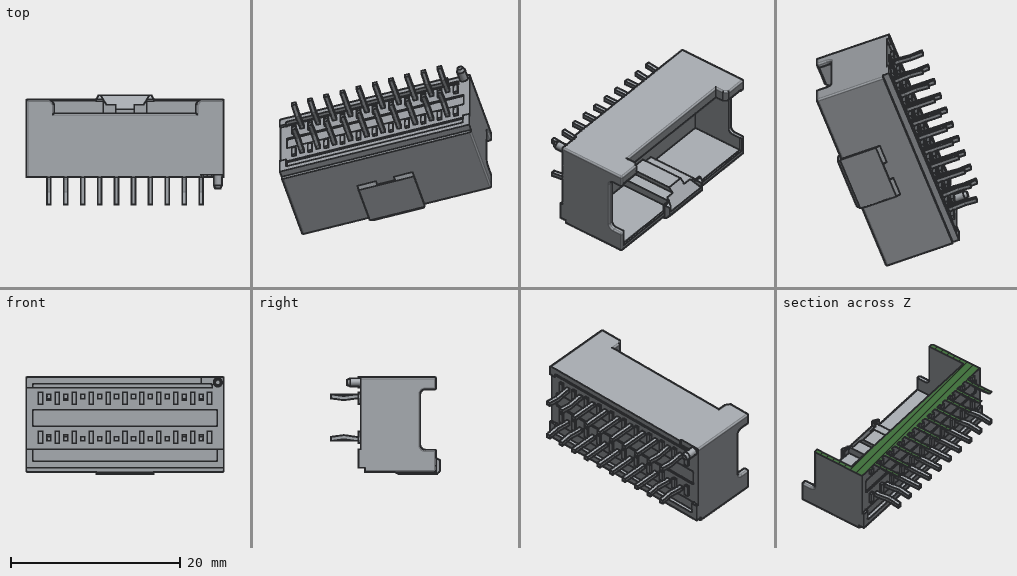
import cadquery as cq
import math


length = 23.4
depth = 9.2
height = 11.25
edge_radius = 0.2
top_wall = 1.4
bottom_wall = 0.85
side_wall = 0.6
back_wall = 2.35
mouth_chamfer = 0.16
mouth_chamfer_angle = 45

side_window_depth = 1.85
side_window_low = 2.67
side_window_high = 9.75
side_window_radius = 0.55
window_mouth_radius = 0.19
top_window_half = 8.38
top_window_depth = 1.61
top_window_flare = 0.42
top_window_flare_depth = 0.55

field_depth = 0.28
upper_ridge_height = 1.29
lower_ridge_height = 2.71
foot_height = 0.5
foot_depth = 0.77
peg_corner_x = 9.0

pocket_depth = 0.19
pocket_radius = 0.2
pocket_half = 10.93
strip_right = 10.3
strip_top = 10.45
center_pocket_low = 5.4
center_pocket_high = 7.4
lower_pocket_low = 1.26

tails_per_row = 10
tail_row_span = 18.0
pitch = tail_row_span / (tails_per_row - 1)
tail_size = 0.5
tail_length = 3.25
tail_bend_start = 0.2
tail_bend_peak = 1.7
tail_bend_offset = 0.2
bent_tails_per_end = 2
upper_tail_z = 8.95
lower_tail_z = 3.93
rib_width = 0.5
rib_height = 1.4
upper_rib_z = 8.73
lower_rib_z = 4.12

peg_x = 10.97
peg_z = 10.6
peg_diameter = 1.0
peg_tip_diameter = 0.63
peg_shoulder = 0.94
peg_length = 1.35

lip_length = 0.5
lip_half = 3.42
lip_taper = 0.28
lip_chamfer = 0.37
lip_base_top = 1.68
keel_height = 0.23
keel_end = 4.28
keel_ramp = 0.5
key_half = 2.6
key_top = 1.83
key_rib_half = 1.1
key_rib_top = 2.39
lead_in_mouth_half = 2.88
lead_in_end_half = 2.2
lead_in_mouth_z = 0.7
lead_in_angle = 45.0

recess_floor = field_depth + pocket_depth
lip_y = depth + lip_length
overcut = 0.23


def box(x0, x1, y0, y1, z0, z1):
    """Axis-aligned block between the given limits."""
    return cq.Workplane("XY").box(x1 - x0, y1 - y0, z1 - z0, centered=False).translate((x0, y0, z0))


def make_cavity_tool():
    """Cavity behind the rim, with a chamfered mouth."""
    width = length - 2 * side_wall
    tall = height - top_wall - bottom_wall
    cavity = box(-width / 2, width / 2, back_wall, depth + overcut, bottom_wall, bottom_wall + tall)
    mouth = (
        cq.Workplane("XZ", origin=(0, depth, bottom_wall + tall / 2))
        .rect(width + 2 * mouth_chamfer, tall + 2 * mouth_chamfer)
        .extrude(2 * mouth_chamfer, taper=mouth_chamfer_angle)
    )
    return cavity.union(mouth)


def make_side_window_tool():
    """Window through both side walls, with rounded inner and mouth corners."""
    reach = length / 2 + overcut
    window = box(-reach, reach, depth - side_window_depth, depth + overcut, side_window_low, side_window_high)
    window = window.edges("|X and <Y").fillet(side_window_radius)
    window = window.union(box(-reach, reach, depth, depth + overcut, 0, height))
    mouth = cq.selectors.BoxSelector(
        (-reach, depth - overcut / 2, side_window_low - overcut),
        (reach, depth + overcut / 2, side_window_high + overcut),
    )
    return window.edges("|X").edges(mouth).fillet(window_mouth_radius)


def make_top_window_tool():
    """Window through the top wall, flared where it meets the rim."""
    flared_half = top_window_half + top_window_flare
    return (
        cq.Workplane("XY", origin=(0, 0, height / 2))
        .moveTo(-top_window_half, depth - top_window_depth)
        .lineTo(top_window_half, depth - top_window_depth)
        .lineTo(top_window_half, depth - top_window_flare_depth)
        .lineTo(flared_half, depth)
        .lineTo(flared_half, depth + overcut)
        .lineTo(-flared_half, depth + overcut)
        .lineTo(-flared_half, depth)
        .lineTo(-top_window_half, depth - top_window_flare_depth)
        .close()
        .extrude(height)
    )


def make_shell():
    """Open-fronted box with rim windows and rounded outer edges."""
    shell = box(-length / 2, length / 2, 0, depth, 0, height)
    shell = shell.cut(make_cavity_tool()).cut(make_side_window_tool()).cut(make_top_window_tool())
    outer_edges = shell.faces("<X or >X").edges("not <Y")
    outer_edges = outer_edges.add(shell.faces(">Z").edges("not <Y"))
    outer_edges = outer_edges.add(shell.faces("<Z").edges("not <Y"))
    return shell.newObject(outer_edges.vals()).fillet(edge_radius)


def rounded_pocket(x0, x1, z0, z1):
    """Tool for a flat pocket with rounded corners, open at the mounting face."""
    return box(x0, x1, -overcut, recess_floor, z0, z1).edges("|Y").fillet(pocket_radius)


def cut_mounting_face(body):
    """Recess the field, step the foot and the peg corner, then cut the pockets."""
    reach = length / 2 + overcut
    field_top = height - upper_ridge_height
    body = body.cut(box(-reach, reach, -overcut, field_depth, lower_ridge_height, field_top))
    body = body.cut(box(peg_corner_x, reach, -overcut, field_depth, lower_ridge_height, height + overcut))
    body = body.cut(box(-reach, reach, -overcut, foot_depth, -overcut, foot_height))
    upper_strip = rounded_pocket(-pocket_half, strip_right, field_top - 2 * pocket_radius, strip_top)
    upper_strip = upper_strip.intersect(box(-reach, reach, -overcut, recess_floor, field_top, height))
    lower_strip_end = lower_ridge_height + 2 * pocket_radius
    lower_strip = rounded_pocket(-pocket_half, pocket_half, lower_pocket_low, lower_strip_end)
    lower_strip = lower_strip.intersect(box(-reach, reach, -overcut, recess_floor, 0, lower_ridge_height))
    center_pocket = rounded_pocket(-pocket_half, pocket_half, center_pocket_low, center_pocket_high)
    return body.cut(upper_strip).cut(lower_strip).cut(center_pocket)


def make_latch_lip():
    """Tapered lip ahead of the rim, with a keel whose ramped end is square in the middle."""
    profile = (
        cq.Workplane("YZ", origin=(-lip_half, 0, 0))
        .moveTo(keel_end, 0)
        .lineTo(keel_end + keel_ramp, -keel_height)
        .lineTo(lip_y - lip_chamfer, -keel_height)
        .lineTo(lip_y, lip_chamfer - keel_height)
        .lineTo(lip_y, lip_base_top - lip_taper)
        .lineTo(depth, lip_base_top)
        .lineTo(depth - edge_radius, lip_base_top)
        .lineTo(depth - edge_radius, edge_radius)
        .lineTo(keel_end, edge_radius)
        .close()
        .extrude(2 * lip_half)
    )
    outline = (
        cq.Workplane("XY", origin=(0, 0, -keel_height))
        .moveTo(-lip_half, 0)
        .lineTo(lip_half, 0)
        .lineTo(lip_half, depth)
        .lineTo(lip_half - lip_taper, lip_y)
        .lineTo(-lip_half + lip_taper, lip_y)
        .lineTo(-lip_half, depth)
        .close()
        .extrude(height)
    )
    step = box(-key_rib_half, key_rib_half, 0, keel_end + keel_ramp, -keel_height - overcut, 0)
    return profile.intersect(outline).cut(step)


def make_key_block():
    """Stepped block on the cavity floor, with a rib along its middle."""
    start = back_wall - overcut
    base = box(-key_half, key_half, start, depth, edge_radius, key_top)
    return base.union(box(-key_rib_half, key_rib_half, start, depth, edge_radius, key_rib_top))


def cut_lead_in(body):
    """Sloping lead-in through the lip and up over the key block."""
    slope = math.tan(math.radians(lead_in_angle))
    ramp_end_y = lip_y - (key_rib_top - lead_in_mouth_z) / slope
    flare_end_y = lip_y - (key_top - lead_in_mouth_z) / slope
    flare = (
        cq.Workplane("XY")
        .moveTo(-lead_in_end_half, 0)
        .lineTo(lead_in_end_half, 0)
        .lineTo(lead_in_end_half, flare_end_y)
        .lineTo(lead_in_mouth_half, lip_y)
        .lineTo(-lead_in_mouth_half, lip_y)
        .lineTo(-lead_in_end_half, flare_end_y)
        .close()
        .extrude(height / 2)
    )
    wedge = (
        cq.Workplane("YZ", origin=(-lip_half, 0, 0))
        .moveTo(lip_y, lead_in_mouth_z)
        .lineTo(ramp_end_y, key_rib_top)
        .lineTo(lip_y, key_rib_top)
        .close()
        .extrude(2 * lip_half)
    )
    return body.cut(wedge.intersect(flare))


def make_tail(x, z, bend):
    """Square solder tail; bend shifts its middle along Z."""
    half = tail_size / 2
    path = [
        (recess_floor, 0),
        (-tail_bend_start, 0),
        (-tail_bend_peak, bend),
        (-tail_length, 0),
    ]
    upper = [(y, z + shift + half) for y, shift in path]
    lower = [(y, z + shift - half) for y, shift in reversed(path)]
    return cq.Workplane("YZ", origin=(x - half, 0, 0)).polyline(upper + lower).close().extrude(tail_size)


def make_tail_row(tail_z, rib_z, bend):
    """List of one row of tails with standoff ribs between and outside them."""
    row = []
    for i in range(tails_per_row):
        x = -tail_row_span / 2 + i * pitch
        from_end = min(i, tails_per_row - 1 - i)
        row.append(make_tail(x, tail_z, bend if from_end < bent_tails_per_end else 0))
    for i in range(tails_per_row + 1):
        x = -tail_row_span / 2 + (i - 1 / 2) * pitch
        row.append(
            box(
                x - rib_width / 2, x + rib_width / 2, 0, recess_floor,
                rib_z - rib_height / 2, rib_z + rib_height / 2,
            )
        )
    return row


def make_peg():
    """Round locating peg with a tapered tip."""
    return (
        cq.Workplane("XY")
        .moveTo(0, recess_floor)
        .lineTo(peg_diameter / 2, recess_floor)
        .lineTo(peg_diameter / 2, -peg_shoulder)
        .lineTo(peg_tip_diameter / 2, -peg_length)
        .lineTo(0, -peg_length)
        .close()
        .revolve(360, (0, 0), (0, 1))
        .translate((peg_x, 0, peg_z))
    )


body = cut_mounting_face(make_shell())
body = cut_lead_in(body.union(make_latch_lip()).union(make_key_block()))
rows = make_tail_row(upper_tail_z, upper_rib_z, -tail_bend_offset)
rows += make_tail_row(lower_tail_z, lower_rib_z, tail_bend_offset)
for piece in rows:
    body = body.union(piece)
result = body.union(make_peg())